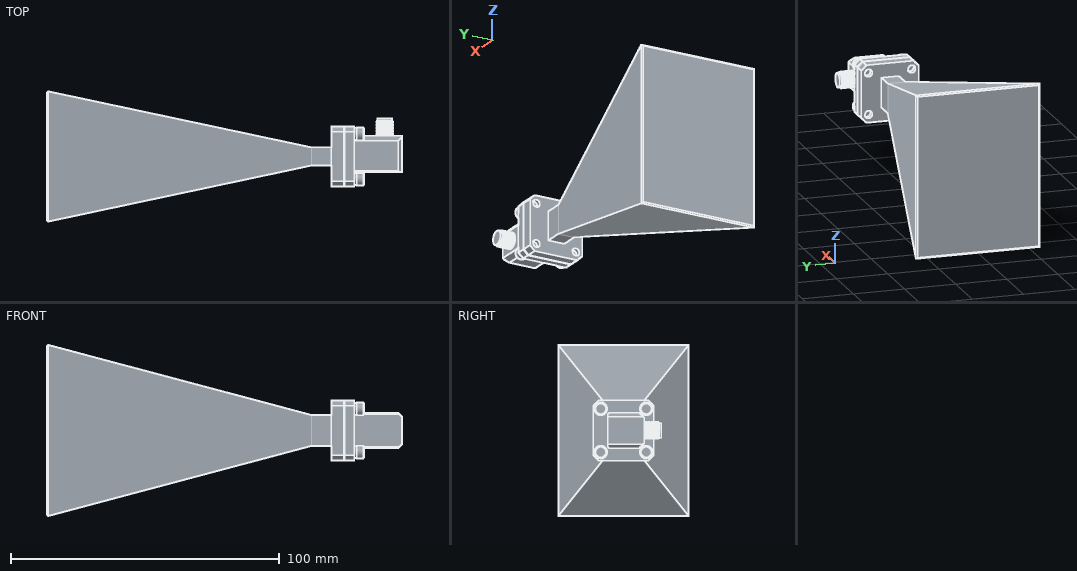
import cadquery as cq

total_length = 132.1

aperture_y = 48.5
aperture_z = 63.7
aperture_bevel = 0.5
throat_x = 98.3
guide_y = 6.9
guide_z = 11.6

horn_flange_x = 105.8
shim_x = 110.4
shim_thickness = 0.4
adapter_flange_x = shim_x + shim_thickness
flange_back_x = 114.4
flange_size = 22.5
flange_corner = 2.0

screw_y = 8.5
screw_z = 8.0
shank_diameter = 2.9
shank_recess = 2.1
collar_diameter = 4.5
collar_height = 0.8
head_diameter = 4.8
head_height = 2.8
head_bevel = 0.4

block_y_min = -5.8
block_y_max = 7.8
block_z = 13.2
end_bevel = 1.5
coax_side_bevel = 2.0
plain_side_bevel = 0.5

connector_x = 125.6
connector_tip_y = 14.1
lip_diameter = 5.5
thread_end_y = 13.3
thread_diameter = 6.3
thread_root_diameter = 5.8
thread_count = 5
thread_crest_fraction = 0.4
thread_flank_fraction = 0.2

block_half_z = block_z / 2
thread_pitch = (thread_end_y - block_y_max) / thread_count
screw_places = [(y, z) for y in (-screw_y, screw_y) for z in (-screw_z, screw_z)]


def rectangle_at(x, size_y, size_z):
    """Rectangle centred on the horn axis, in the plane across it at x."""
    return cq.Workplane("YZ", origin=(x, 0, 0)).rect(size_y, size_z)


def screw_cylinder(diameter, x_start, x_end, y, z):
    """Cylinder along X, centred on the screw axis at (y, z)."""
    return cq.Workplane("YZ", origin=(x_start, y, z)).circle(diameter / 2).extrude(x_end - x_start)


def make_flange_plate(x_start, x_end):
    """Square plate with cut corners and four screw holes, used for both flanges and the shim."""
    plate = rectangle_at(x_start, flange_size, flange_size).extrude(x_end - x_start)
    plate = plate.edges("|X").chamfer(flange_corner)
    for y, z in screw_places:
        plate = plate.cut(screw_cylinder(shank_diameter, x_start, x_end, y, z))
    return plate


def make_frustum(x_start, start_size, x_end, end_size):
    """Four-sided taper between two centred rectangles, each size given as (y, z)."""
    start = rectangle_at(x_start, *start_size)
    return start.workplane(offset=x_end - x_start).rect(*end_size).loft(ruled=True)


def make_horn():
    """Pyramidal horn with a bevelled mouth, a straight neck and a flange."""
    rim = (aperture_y, aperture_z)
    mouth = (aperture_y - 2 * aperture_bevel, aperture_z - 2 * aperture_bevel)
    guide = (guide_y, guide_z)
    lip = make_frustum(0, mouth, aperture_bevel, rim)
    flare = make_frustum(aperture_bevel, rim, throat_x, guide)
    neck = rectangle_at(throat_x, *guide).extrude(horn_flange_x - throat_x)
    flange = make_flange_plate(horn_flange_x, shim_x)
    return lip.union(flare).union(neck).union(flange)


def make_adapter():
    """Bevelled block behind the second flange."""
    block = cq.Workplane("XY").box(
        total_length - flange_back_x,
        block_y_max - block_y_min,
        block_z,
        centered=False,
    )
    block = block.translate((flange_back_x, block_y_min, -block_half_z))
    block = block.faces(">X").edges("|Y").chamfer(end_bevel)
    block = block.faces(">Y").edges("<Z or >Z").chamfer(coax_side_bevel)
    block = block.faces("<Y").edges("<Z or >Z").chamfer(plain_side_bevel)
    return block.union(make_flange_plate(adapter_flange_x, flange_back_x))


def make_connector():
    """Threaded coax connector standing on the +Y face of the block, its thread as plain rings."""
    root_radius = thread_root_diameter / 2
    crest_radius = thread_diameter / 2
    lip_radius = lip_diameter / 2
    flank = thread_flank_fraction * thread_pitch
    crest = thread_crest_fraction * thread_pitch

    profile = cq.Workplane("XY").moveTo(0, block_y_max).lineTo(root_radius, block_y_max)
    for ring in range(thread_count):
        ring_y = block_y_max + ring * thread_pitch
        profile = profile.lineTo(crest_radius, ring_y + flank)
        profile = profile.lineTo(crest_radius, ring_y + flank + crest)
        profile = profile.lineTo(root_radius, ring_y + 2 * flank + crest)
        profile = profile.lineTo(root_radius, ring_y + thread_pitch)
    profile = profile.lineTo(lip_radius, thread_end_y)
    profile = profile.lineTo(lip_radius, connector_tip_y).lineTo(0, connector_tip_y).close()
    return profile.revolve(360, (0, 0, 0), (0, 1, 0)).translate((connector_x, 0, 0))


def make_screw(y, z):
    """Cap screw with a narrower collar under its head; the tip stops inside the horn flange."""
    tip_x = horn_flange_x + shank_recess
    head_x = flange_back_x + collar_height
    shank = screw_cylinder(shank_diameter, tip_x, flange_back_x, y, z)
    collar = screw_cylinder(collar_diameter, flange_back_x, head_x, y, z)
    head = screw_cylinder(head_diameter, head_x, head_x + head_height, y, z)
    head = head.faces(">X").chamfer(head_bevel)
    return shank.union(collar).union(head)


horn = make_horn()
shim = make_flange_plate(shim_x, adapter_flange_x)
adapter = make_adapter()
connector = make_connector()
screws = [make_screw(y, z).val() for y, z in screw_places]

result = cq.Compound.makeCompound([horn.val(), shim.val(), adapter.val(), connector.val(), *screws])